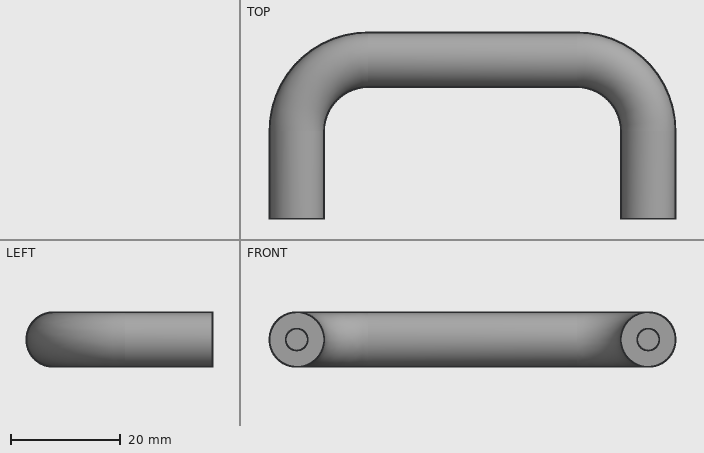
import cadquery as cq

length = 74.0
height = 34.0
rod_diameter = 10.0

bend_outer_radius = 18.0
hole_diameter = 4.0
hole_depth = 10.0

rod_radius = rod_diameter / 2
bend_radius = bend_outer_radius - rod_radius
leg_x = length / 2 - rod_radius
grip_y = height - rod_radius
leg_length = height - bend_outer_radius
grip_half_length = length / 2 - bend_outer_radius

centreline = (
    cq.Workplane("XY")
    .moveTo(-leg_x, 0)
    .lineTo(-leg_x, leg_length)
    .radiusArc((-grip_half_length, grip_y), bend_radius)
    .lineTo(grip_half_length, grip_y)
    .radiusArc((leg_x, leg_length), bend_radius)
    .lineTo(leg_x, 0)
)

rod = cq.Workplane("XZ", origin=(-leg_x, 0, 0)).circle(rod_radius).sweep(centreline)

holes = (
    cq.Workplane("XZ")
    .pushPoints([(-leg_x, 0), (leg_x, 0)])
    .circle(hole_diameter / 2)
    .extrude(-hole_depth)
)

result = rod.cut(holes)